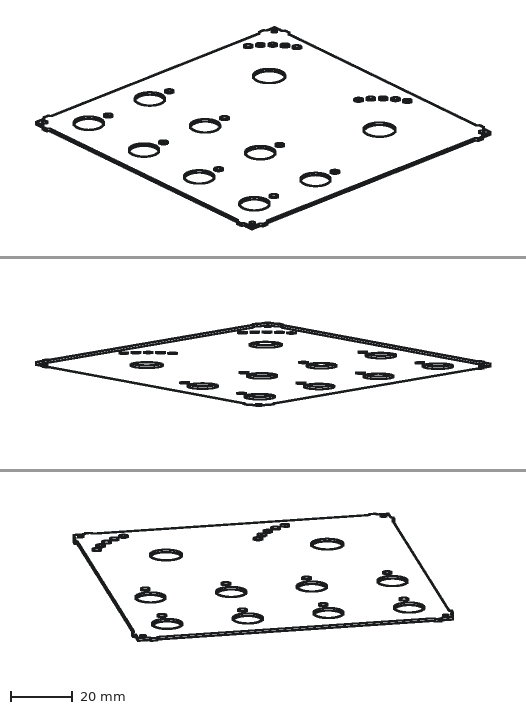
import cadquery as cq
import math

overall_size = 105.6
thickness = 0.91
tab_height = 0.8
plate_size = overall_size - 2 * tab_height

tab_tip_width = 2.0
tab_center = 46.9
tab_overlap = 1.1

pitch = 26.6
half_pitch = pitch / 2
grid_columns = 4
grid_rows = 2
control_diameter = 9.8
indicator_diameter = 2.9
indicator_offset = 8.5

selector_diameter = 10.5
fan_radius = 23.0
fan_first_angle = 115
fan_step_angle = 10
fan_count = 5

mount_diameter = 1.8
mount_position = 50.0


def make_tab(center_x):
    """Tab on the +Y side; each flank is a concave quarter circle tangent to the plate edge."""
    edge_y = plate_size / 2
    tip_y = overall_size / 2
    half_tip = tab_tip_width / 2
    half_base = half_tip + tab_height
    diagonal = tab_height * math.sqrt(0.5)
    half_middle = half_base - diagonal
    middle_y = tip_y - diagonal
    return (
        cq.Workplane("XY")
        .moveTo(center_x - half_base, edge_y - tab_overlap)
        .lineTo(center_x - half_base, edge_y)
        .threePointArc((center_x - half_middle, middle_y), (center_x - half_tip, tip_y))
        .lineTo(center_x + half_tip, tip_y)
        .threePointArc((center_x + half_middle, middle_y), (center_x + half_base, edge_y))
        .lineTo(center_x + half_base, edge_y - tab_overlap)
        .close()
        .extrude(thickness)
    )


def make_plate():
    """Square plate with a tab near both ends of every side."""
    plate = cq.Workplane("XY").rect(plate_size, plate_size).extrude(thickness)
    for turn in (0, 90, 180, 270):
        for center_x in (-tab_center, tab_center):
            tab = make_tab(center_x).rotate((0, 0, 0), (0, 0, 1), turn)
            plate = plate.union(tab)
    return plate


def drill(body, points, diameter):
    """Cut round through holes at the given points."""
    holes = cq.Workplane("XY").pushPoints(points).circle(diameter / 2).extrude(thickness)
    return body.cut(holes)


def fan_points(center):
    """Indicator positions on an arc around a selector hole."""
    points = []
    for index in range(fan_count):
        angle = math.radians(fan_first_angle + index * fan_step_angle)
        x = center[0] + fan_radius * math.cos(angle)
        y = center[1] + fan_radius * math.sin(angle)
        points.append((x, y))
    return points


mounts = [(x, y) for x in (-mount_position, mount_position) for y in (-mount_position, mount_position)]
first_column_x = -(grid_columns - 1) * half_pitch
controls = [
    (first_column_x + column * pitch, -half_pitch - row * pitch)
    for column in range(grid_columns)
    for row in range(grid_rows)
]
selectors = [(-pitch, pitch), (pitch, pitch)]

indicators = [(x, y + indicator_offset) for x, y in controls]
for selector in selectors:
    indicators += fan_points(selector)

result = make_plate()
result = drill(result, mounts, mount_diameter)
result = drill(result, controls, control_diameter)
result = drill(result, selectors, selector_diameter)
result = drill(result, indicators, indicator_diameter)